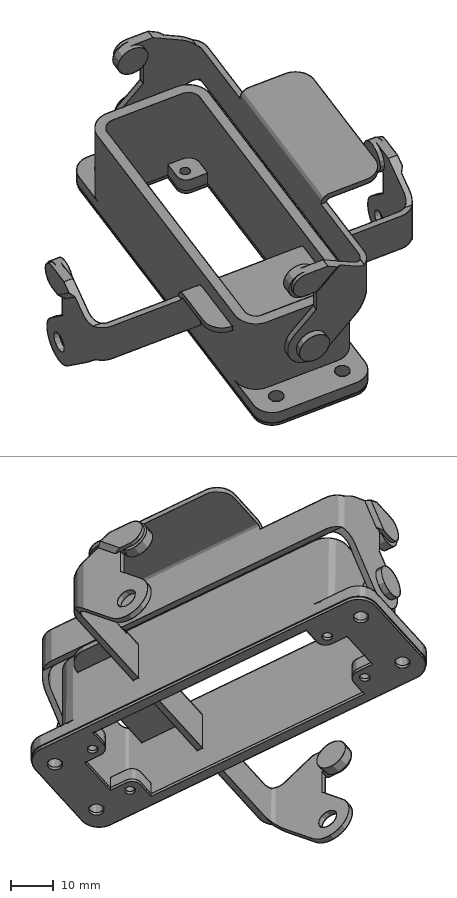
import cadquery as cq
import math

flange_length = 96.0
flange_width = 29.8
flange_corner_radius = 5.0
flange_thickness = 3.5
flange_hole_diameter = 3.6
flange_hole_x = 43.0
flange_hole_y = 8.8

box_length = 78.9
wall = 2.6
cavity_corner_radius = 3.0
housing_top = 26.0

ear_size = 6.9
ear_corner_radius = 2.5
ear_hole_diameter = 2.46
ear_hole_x = 33.0
ear_hole_y = 7.95

pivot_diameter = 5.0
pivot_head_diameter = 8.0
pivot_head_thickness = 1.6
pivot_head_inner_x = 44.0
pivot_height = 18.38

gasket_thickness = 0.9
gasket_inset = 0.2

sheet = 1.5
leg_outer_x = 43.46
leg_front_y = 1.62
leg_bend_radius = 5.0
eye_radius = 6.0
web_inner_y = 15.5
web_top = 17.8
lever_top = 24.0
lever_top_rear_y = 4.2
rear_slope_degrees = 30.0

pad_outer_x = 44.4
pad_height = 7.0
pad_nose_y = -1.55
pad_rear_y = 3.13
pad_step_run = 1.38
disc_diameter = 8.0
disc_y = -1.7
disc_inner_x = 40.87

handle_width = 40.0
handle_end_y = 32.6
handle_bend_radius = 2.5
handle_corner_radius = 5.0

cross_lever_pivot_height = 1.0
cross_lever_turn = -90.0

flange_top = gasket_thickness + flange_thickness
cavity_length = box_length - 2 * wall
cavity_width = flange_width - 2 * wall
eye_tangent = eye_radius / math.sqrt(2)
eye_slope_reach = eye_radius * math.sqrt(2)
web_outer_y = web_inner_y + sheet
leg_inner_x = leg_outer_x - sheet
pad_bottom = lever_top - pad_height
pad_nose_radius = pad_height / 2
pad_nose_tip = (pad_nose_y - pad_nose_radius, lever_top - pad_nose_radius)
pad_step = pad_outer_x - leg_outer_x
disc_radius = disc_diameter / 2
rear_slope = math.tan(math.radians(rear_slope_degrees))
rear_slope_end_y = lever_top_rear_y + (lever_top - web_top) / rear_slope


def rounded_block(length, width, radius, bottom, top):
    """Upright block centred on Z with rounded vertical edges."""
    block = cq.Workplane("XY", origin=(0, 0, bottom)).rect(length, width).extrude(top - bottom)
    return block.edges("|Z").fillet(radius)


def drill_flange_and_ears(plate):
    """Cut the flange holes and the ear holes through a base plate."""
    for x, y, diameter in (
        (flange_hole_x, flange_hole_y, flange_hole_diameter),
        (ear_hole_x, ear_hole_y, ear_hole_diameter),
    ):
        drills = (
            cq.Workplane("XY")
            .rect(2 * x, 2 * y, forConstruction=True)
            .vertices()
            .circle(diameter / 2)
            .extrude(flange_top)
        )
        plate = plate.cut(drills)
    return plate


def base_opening(bottom, top):
    """Cavity outline less the ear in each corner."""
    opening = rounded_block(cavity_length, cavity_width, cavity_corner_radius, bottom, top)
    for side_x in (-1, 1):
        for side_y in (-1, 1):
            ear = (
                cq.Workplane("XY", origin=(side_x * cavity_length / 2, side_y * cavity_width / 2, bottom))
                .rect(2 * ear_size, 2 * ear_size)
                .extrude(top - bottom)
                .edges("|Z")
                .fillet(ear_corner_radius)
            )
            opening = opening.cut(ear)
    return opening


def make_gasket():
    """Flat seal under the flange, set in slightly from its rim."""
    gasket = rounded_block(
        flange_length - 2 * gasket_inset,
        flange_width - 2 * gasket_inset,
        flange_corner_radius - gasket_inset,
        0,
        gasket_thickness,
    )
    gasket = gasket.cut(base_opening(0, gasket_thickness))
    return drill_flange_and_ears(gasket)


def make_housing():
    """Flanged open box with a headed pivot stud on each end wall."""
    flange = rounded_block(flange_length, flange_width, flange_corner_radius, gasket_thickness, flange_top)
    box_corner_radius = cavity_corner_radius + wall
    box = rounded_block(box_length, flange_width, box_corner_radius, gasket_thickness, housing_top)
    cavity = rounded_block(cavity_length, cavity_width, cavity_corner_radius, flange_top, housing_top)
    body = flange.union(box).cut(cavity).cut(base_opening(gasket_thickness, flange_top))
    body = drill_flange_and_ears(body)
    for side in (-1, 1):
        stud_start = box_length / 2 - wall / 2
        stud = (
            cq.Workplane("YZ", origin=(side * stud_start, 0, pivot_height))
            .circle(pivot_diameter / 2)
            .extrude(side * (pivot_head_inner_x - stud_start))
        )
        head = (
            cq.Workplane("YZ", origin=(side * pivot_head_inner_x, 0, pivot_height))
            .circle(pivot_head_diameter / 2)
            .extrude(side * pivot_head_thickness)
        )
        body = body.union(stud).union(head)
    return body


def bent_strip():
    """U-shaped sheet strip with its web across the rear, tall enough for the whole lever."""
    strip_length = web_outer_y + 2 * eye_radius
    strip_front_y = web_outer_y - strip_length

    def strip_block(half_width, rear_y, radius):
        return (
            cq.Workplane("XY", origin=(0, (strip_front_y + rear_y) / 2, -eye_radius))
            .rect(2 * half_width, rear_y - strip_front_y)
            .extrude(lever_top + eye_radius)
            .edges("|Z and >Y")
            .fillet(radius)
        )

    outside = strip_block(leg_outer_x, web_outer_y, leg_bend_radius)
    inside = strip_block(leg_inner_x, web_inner_y, leg_bend_radius - sheet)
    return outside.cut(inside)


def lever_side_outline():
    """Side outline of the legs and the web, extruded across the whole lever."""
    web_bottom = web_inner_y - eye_slope_reach
    return (
        cq.Workplane("YZ", origin=(-leg_outer_x, 0, 0))
        .moveTo(-eye_tangent, eye_tangent)
        .threePointArc((-eye_tangent, -eye_tangent), (eye_tangent, -eye_tangent))
        .lineTo(web_inner_y, web_bottom)
        .lineTo(web_outer_y, web_bottom)
        .lineTo(web_outer_y, web_top)
        .lineTo(rear_slope_end_y, web_top)
        .lineTo(lever_top_rear_y, lever_top)
        .lineTo(pad_nose_y, lever_top)
        .threePointArc(pad_nose_tip, (pad_nose_y, pad_bottom))
        .lineTo(leg_front_y, pad_bottom)
        .lineTo(leg_front_y, eye_slope_reach + leg_front_y)
        .close()
        .extrude(2 * leg_outer_x)
    )


def leg_tip():
    """Outer pad and inner latch disc of the +X leg."""
    slope_height_at_rear = pad_height + (lever_top_rear_y - pad_rear_y) * rear_slope
    meeting_rise = slope_height_at_rear / (1 + rear_slope)
    pad = (
        cq.Workplane("YZ", origin=(leg_outer_x, 0, 0))
        .moveTo(pad_nose_y, lever_top)
        .threePointArc(pad_nose_tip, (pad_nose_y, pad_bottom))
        .lineTo(pad_rear_y, pad_bottom)
        .lineTo(pad_rear_y + meeting_rise, pad_bottom + meeting_rise)
        .lineTo(lever_top_rear_y, lever_top)
        .close()
        .extrude(pad_step)
    )
    along_edge = cq.Plane(origin=(leg_outer_x, pad_rear_y, pad_bottom), xDir=(1, 0, 0), normal=(0, 1, 1))
    step_slope = (
        cq.Workplane(along_edge)
        .polyline([(0, 0), (pad_step, -pad_step_run), (pad_step, 0)])
        .close()
        .extrude(lever_top, both=True)
    )
    disc = (
        cq.Workplane("YZ", origin=(disc_inner_x, disc_y, lever_top - disc_radius))
        .circle(disc_radius)
        .extrude(leg_outer_x - disc_inner_x)
    )
    return pad.cut(step_slope), disc


def lever_handle():
    """Finger tab bent rearward from the top of the web."""
    bend_y = web_inner_y + handle_bend_radius
    handle_top = web_top + handle_bend_radius
    inner_radius = handle_bend_radius - sheet
    middle = math.sqrt(0.5)
    return (
        cq.Workplane("YZ", origin=(-handle_width / 2, 0, 0))
        .moveTo(web_inner_y, web_top)
        .threePointArc(
            (bend_y - handle_bend_radius * middle, web_top + handle_bend_radius * middle),
            (bend_y, handle_top),
        )
        .lineTo(handle_end_y, handle_top)
        .lineTo(handle_end_y, handle_top - sheet)
        .lineTo(bend_y, handle_top - sheet)
        .threePointArc(
            (bend_y - inner_radius * middle, web_top + inner_radius * middle),
            (web_outer_y, web_top),
        )
        .close()
        .extrude(handle_width)
        .edges("|Z and >Y")
        .fillet(handle_corner_radius)
    )


def make_lever():
    """One lever with its pivot axis along X through the origin."""
    lever = bent_strip().intersect(lever_side_outline()).union(lever_handle())
    for feature in leg_tip():
        lever = lever.union(feature).union(feature.mirror("YZ"))
    eye_holes = cq.Workplane("YZ").circle(pivot_diameter / 2).extrude(pad_outer_x, both=True)
    return lever.cut(eye_holes)


origin = (0, 0, 0)
z_axis = (0, 0, 1)
lever_placements = [(0.0, pivot_height), (cross_lever_turn, cross_lever_pivot_height)]
levers = [
    make_lever().rotate(origin, z_axis, turn).translate((0, 0, height))
    for turn, height in lever_placements
]

gasket = make_gasket()
housing = make_housing()
for lever in levers:
    housing = housing.cut(lever)

result = cq.Compound.makeCompound([gasket.val(), housing.val(), *[lever.val() for lever in levers]])